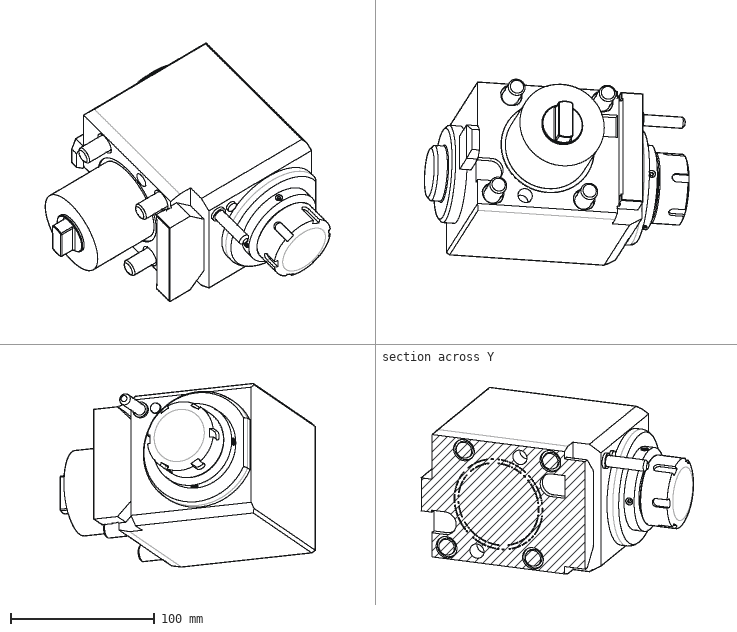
import cadquery as cq


HEIGHT = 94.0
BODY_LEFT = -50.0
STEP_X = 49.6
BODY_RIGHT = 70.6
BODY_BACK = 108.0
STEP_Y = 17.5
EDGE_DROP = 2.2
SIDE_BEVEL = 2.0
FRONT_BEVEL = 8.1
RIGHT_BEVEL = 8.7
RIGHT_DROP = 5.3

SHANK_RADIUS = 30.0
SHANK_LENGTH = 49.0
TANG_DISC_RADIUS = 14.5
TANG_DISC_HEIGHT = 1.8
TANG_DISC_CHAMFER = 0.5
TANG_RADIUS = 13.4
TANG_WIDTH = 10.3
TANG_END = 62.1
TANG_CHAMFER = 0.5
TANG_CORNER = 0.7
TANG_FLARE = 1.0
SEAL_GROOVE_RADIUS = 33.1
SEAL_GROOVE_DEPTH = 2.2
SEAL_BULGE = 0.4

BOLT_ROW_Z = 36.5
BOLT_SPACING = 64.8
BOLT_SHIFT = 6.5
BOLT_RADIUS = 6.0
BOLT_LENGTH = 19.0
BOLT_CHAMFER = 1.3
BOLT_HOLE_RADIUS = 7.6
BOLT_HOLE_DEPTH = 3.6
DOWEL_X = 16.1
DOWEL_RADIUS = 5.0
DOWEL_DEPTH = 14.5
KEYWAY_Z = 19.0
KEYWAY_WIDTH = 16.3
KEYWAY_LENGTH = 18.1
KEYWAY_DEPTH = 5.5

BLOCK_THICKNESS = 8.0
BLOCK_HALF_HEIGHT = 12.3
BLOCK_BACK = 23.9
BLOCK_FRONT = -6.2
BLOCK_TAPER = 5.5
BLOCK_NOSE_INSET = 2.5
BLOCK_NOSE_DROP = 4.9
BLOCK_ROUND = 1.0

PLATE_RIGHT = 65.2
PLATE_HALF_HEIGHT = 39.8
PLATE_FRONT = -13.0
PLATE_SLOPE_Y = 5.3
PLATE_EDGE = 0.5
RELIEF_DEPTH = 1.3
RELIEF_END_Y = -4.3
RELIEF_INNER_Y = -7.8
RELIEF_HALF_HEIGHT = 35.1

SPINDLE_Y = 70.0
CAP_LEFT = -69.9
CAP_RADIUS = 19.4
CAP_CHAMFER = 2.4
FLANGE_LEFT = -60.3
FLANGE_RADIUS = 34.0
FLANGE_CHAMFER = 2.2
CAP_FLARE = 0.7
COLLAR_RIGHT = 78.8
COLLAR_RADIUS = 41.1
COLLAR_ROUND_LENGTH = 3.8
COLLAR_DROP = 1.6
COLLAR_FLAT_Y = 107.0
RING_RIGHT = 86.4
RING_RADIUS = 29.5
NECK_RADIUS = 20.5
NUT_LEFT = 88.7
NUT_RIGHT = 111.2
NUT_RADIUS = 24.8
NUT_CHAMFER = 0.7
NUT_CROWN_START = 109.2
NUT_CROWN_BULGE = 0.6
NUT_FACE_RADIUS = 18.8
NUT_SLOTS = 6
NUT_SLOT_WIDTH = 6.2
NUT_SLOT_DEPTH = 2.4
NUT_LONG_SLOT_X = 94.4
NUT_SHORT_SLOT_X = 98.2
SET_SCREWS = 4
SET_SCREW_RADIUS = 2.5
SET_SCREW_DEPTH = 0.5
SOCKET_SIZE = 2.7
SOCKET_DEPTH = 2.2

PIN_Y = 25.2
PIN_Z = 33.7
PIN_RADIUS = 4.0
PIN_RIGHT = 102.7
PIN_CHAMFER = 1.8
PIN_BASE_RADIUS = 5.5
PIN_BASE_HEIGHT = 2.0
PLUG_Y = 36.5
PLUG_RADIUS = 3.6


def box_between(x0, x1, y0, y1, z0, z1):
    return cq.Workplane("XY").box(x1 - x0, y1 - y0, z1 - z0, centered=False).translate((x0, y0, z0))


def cylinder_x(x0, x1, y, z, radius):
    return cq.Workplane("YZ", origin=(x0, y, z)).circle(radius).extrude(x1 - x0)


def cylinder_y(y0, y1, x, z, radius):
    """Cylinder along Y from y0 down to y1 (y1 < y0)."""
    return cq.Workplane("XZ", origin=(x, y0, z)).circle(radius).extrude(y0 - y1)


def turn_on_spindle(profile):
    """Turn a closed profile of (x, radius) points about the spindle axis."""
    half = cq.Workplane("XY", origin=(0, SPINDLE_Y, 0)).polyline(profile).close()
    return half.revolve(360, (0, 0, 0), (1, 0, 0))


def make_housing():
    top = HEIGHT / 2
    shoulder = top - EDGE_DROP
    plan = (
        cq.Workplane("XY", origin=(0, 0, -top))
        .polyline([
            (BODY_LEFT, 0), (STEP_X, 0), (STEP_X, STEP_Y),
            (BODY_RIGHT, STEP_Y), (BODY_RIGHT, BODY_BACK), (BODY_LEFT, BODY_BACK),
        ])
        .close().extrude(2 * top)
    )
    left_bevel_end = BODY_LEFT + SIDE_BEVEL
    right_bevel_start = BODY_RIGHT - RIGHT_BEVEL
    right_shoulder = top - RIGHT_DROP
    front_outline = (
        cq.Workplane("XZ")
        .polyline([
            (BODY_LEFT, -shoulder), (left_bevel_end, -top), (right_bevel_start, -top),
            (BODY_RIGHT, -right_shoulder), (BODY_RIGHT, right_shoulder),
            (right_bevel_start, top), (left_bevel_end, top), (BODY_LEFT, shoulder),
        ])
        .close().extrude(-BODY_BACK)
    )
    back_bevel_start = BODY_BACK - SIDE_BEVEL
    side_outline = (
        cq.Workplane("YZ", origin=(BODY_LEFT, 0, 0))
        .polyline([
            (0, -shoulder), (FRONT_BEVEL, -top), (back_bevel_start, -top), (BODY_BACK, -shoulder),
            (BODY_BACK, shoulder), (back_bevel_start, top), (FRONT_BEVEL, top), (0, shoulder),
        ])
        .close().extrude(BODY_RIGHT - BODY_LEFT)
    )
    return plan.intersect(front_outline).intersect(side_outline)


def make_keyway(side, open_end):
    """Round-ended pocket running from the edge of the mounting face at X = open_end."""
    half_width = KEYWAY_WIDTH / 2
    round_center = open_end - side * (KEYWAY_LENGTH - half_width)
    center_z = side * KEYWAY_Z
    z_range = (center_z - half_width, center_z + half_width)
    x_range = sorted((round_center, open_end))
    straight = box_between(*x_range, 0, KEYWAY_DEPTH, *z_range)
    return straight.union(cylinder_y(KEYWAY_DEPTH, 0, round_center, center_z, half_width))


def make_seal():
    """O-ring lying in its groove around the shank."""
    ring_radius = (SHANK_RADIUS + SEAL_GROOVE_RADIUS) / 2
    cord_radius = (SEAL_GROOVE_RADIUS - SHANK_RADIUS) / 2
    cord = cq.Workplane("XY").center(ring_radius, cord_radius - SEAL_BULGE).circle(cord_radius)
    return cord.revolve(360, (-ring_radius, 0, 0), (-ring_radius, 1, 0))


def make_shank():
    shank = cylinder_y(SEAL_GROOVE_DEPTH, -SHANK_LENGTH, 0, 0, SHANK_RADIUS)
    disc_end = -SHANK_LENGTH - TANG_DISC_HEIGHT
    disc = cylinder_y(-SHANK_LENGTH, disc_end, 0, 0, TANG_DISC_RADIUS)
    disc = disc.faces("<Y").chamfer(TANG_DISC_CHAMFER)
    half_width = TANG_WIDTH / 2
    tang = box_between(-half_width, half_width, -TANG_END, -SHANK_LENGTH, -TANG_RADIUS, TANG_RADIUS)
    tang = tang.intersect(cylinder_y(-SHANK_LENGTH, -TANG_END, 0, 0, TANG_RADIUS))
    tang = tang.edges("|Y").chamfer(TANG_CORNER)
    tang = tang.faces("<Y").edges().chamfer(TANG_CHAMFER)
    root_length = 2 * TANG_RADIUS
    root = (
        cq.Workplane("XZ", origin=(0, disc_end, 0))
        .rect(TANG_WIDTH + 2 * TANG_FLARE, root_length)
        .workplane(offset=TANG_FLARE)
        .rect(TANG_WIDTH, root_length)
        .loft(ruled=True)
    )
    root = root.intersect(cylinder_y(disc_end, -TANG_END, 0, 0, TANG_RADIUS))
    return shank.union(disc).union(root).union(tang)


def make_block():
    left = BODY_LEFT - BLOCK_THICKNESS
    nose_start = BLOCK_FRONT + BLOCK_TAPER
    height = 2 * BLOCK_HALF_HEIGHT
    block = box_between(
        left, BODY_LEFT, nose_start, BLOCK_BACK, -BLOCK_HALF_HEIGHT, BLOCK_HALF_HEIGHT
    )
    block = block.faces(">Y").edges("|X").fillet(BLOCK_ROUND)
    nose = (
        cq.Workplane("XZ", origin=(BODY_LEFT - BLOCK_THICKNESS / 2, nose_start, 0))
        .rect(BLOCK_THICKNESS, height)
        .workplane(offset=BLOCK_TAPER)
        .center(BLOCK_NOSE_INSET / 2, 0)
        .rect(BLOCK_THICKNESS - BLOCK_NOSE_INSET, height - 2 * BLOCK_NOSE_DROP)
        .loft(ruled=True)
    )
    return block.union(nose)


def make_plate():
    half = PLATE_HALF_HEIGHT
    back_half = half - (STEP_Y - PLATE_SLOPE_Y)
    plate = (
        cq.Workplane("YZ", origin=(STEP_X, 0, 0))
        .polyline([
            (PLATE_FRONT, -half), (PLATE_SLOPE_Y, -half), (STEP_Y, -back_half),
            (STEP_Y, back_half), (PLATE_SLOPE_Y, half), (PLATE_FRONT, half),
        ])
        .close().extrude(PLATE_RIGHT - STEP_X)
        .faces("<Y").edges().chamfer(PLATE_EDGE)
    )
    relief = (
        cq.Workplane("YZ", origin=(STEP_X, 0, 0))
        .polyline([
            (0, -half), (RELIEF_END_Y, -half), (RELIEF_INNER_Y, -RELIEF_HALF_HEIGHT),
            (PLATE_FRONT, -RELIEF_HALF_HEIGHT), (PLATE_FRONT, RELIEF_HALF_HEIGHT),
            (RELIEF_INNER_Y, RELIEF_HALF_HEIGHT), (RELIEF_END_Y, half), (0, half),
        ])
        .close().extrude(RELIEF_DEPTH)
    )
    return plate.cut(relief)


def make_flange_and_cap():
    flange_edge = FLANGE_LEFT + FLANGE_CHAMFER
    return turn_on_spindle([
        (CAP_LEFT, 0), (CAP_LEFT, CAP_RADIUS - CAP_CHAMFER), (CAP_LEFT + CAP_CHAMFER, CAP_RADIUS),
        (FLANGE_LEFT - CAP_FLARE, CAP_RADIUS), (FLANGE_LEFT, CAP_RADIUS + CAP_FLARE),
        (FLANGE_LEFT, FLANGE_RADIUS - FLANGE_CHAMFER), (flange_edge, FLANGE_RADIUS),
        (BODY_LEFT, FLANGE_RADIUS), (BODY_LEFT, 0),
    ])


def make_collar():
    round_start = COLLAR_RIGHT - COLLAR_ROUND_LENGTH
    collar = (
        cq.Workplane("XY", origin=(0, SPINDLE_Y, 0))
        .moveTo(BODY_RIGHT, 0).lineTo(BODY_RIGHT, COLLAR_RADIUS).lineTo(round_start, COLLAR_RADIUS)
        .tangentArcPoint((COLLAR_RIGHT, COLLAR_RADIUS - COLLAR_DROP), relative=False)
        .lineTo(COLLAR_RIGHT, 0).close()
        .revolve(360, (0, 0, 0), (1, 0, 0))
    )
    beyond = SPINDLE_Y + COLLAR_RADIUS
    trim = (
        cq.Workplane("XY", origin=(0, 0, -COLLAR_RADIUS))
        .moveTo(BODY_RIGHT, COLLAR_FLAT_Y).lineTo(round_start, COLLAR_FLAT_Y)
        .tangentArcPoint((COLLAR_RIGHT, COLLAR_FLAT_Y - COLLAR_DROP), relative=False)
        .lineTo(COLLAR_RIGHT, beyond).lineTo(BODY_RIGHT, beyond).close()
        .extrude(2 * COLLAR_RADIUS)
    )
    return collar.cut(trim)


def spin(shape, angle):
    """Turn a shape about the spindle axis."""
    return shape.rotate((0, SPINDLE_Y, 0), (1, SPINDLE_Y, 0), angle)


def make_ring():
    ring = cylinder_x(COLLAR_RIGHT, RING_RIGHT, SPINDLE_Y, 0, RING_RADIUS)
    middle_x = (COLLAR_RIGHT + RING_RIGHT) / 2
    seat = cq.Workplane("XY", origin=(middle_x, SPINDLE_Y, RING_RADIUS))
    hole = seat.circle(SET_SCREW_RADIUS).extrude(-SET_SCREW_DEPTH)
    hole = hole.union(seat.polygon(6, SOCKET_SIZE).extrude(-SOCKET_DEPTH))
    for index in range(SET_SCREWS):
        ring = ring.cut(spin(hole, index * 360 / SET_SCREWS))
    return ring


def make_nut_slot(start_x):
    """Round-ended slot on the +Z side of the nut, open at the nut's end face."""
    half_width = NUT_SLOT_WIDTH / 2
    floor = NUT_RADIUS - NUT_SLOT_DEPTH
    round_x = start_x + half_width
    slot = box_between(
        round_x, NUT_RIGHT, SPINDLE_Y - half_width, SPINDLE_Y + half_width, floor, NUT_RADIUS
    )
    round_end = cq.Workplane("XY", origin=(round_x, SPINDLE_Y, floor)).circle(half_width)
    return slot.union(round_end.extrude(NUT_SLOT_DEPTH))


def make_nut():
    crown_x = NUT_CROWN_START + NUT_CROWN_BULGE * (NUT_RIGHT - NUT_CROWN_START)
    crown_radius = NUT_FACE_RADIUS + NUT_CROWN_BULGE * (NUT_RADIUS - NUT_FACE_RADIUS)
    nut = (
        cq.Workplane("XY", origin=(0, SPINDLE_Y, 0))
        .moveTo(RING_RIGHT, 0).lineTo(RING_RIGHT, NECK_RADIUS).lineTo(NUT_LEFT, NECK_RADIUS)
        .lineTo(NUT_LEFT, NUT_RADIUS - NUT_CHAMFER).lineTo(NUT_LEFT + NUT_CHAMFER, NUT_RADIUS)
        .lineTo(NUT_CROWN_START, NUT_RADIUS)
        .threePointArc((crown_x, crown_radius), (NUT_RIGHT, NUT_FACE_RADIUS))
        .lineTo(NUT_RIGHT, 0).close()
        .revolve(360, (0, 0, 0), (1, 0, 0))
    )
    for index in range(NUT_SLOTS):
        is_top_slot = index in (0, NUT_SLOTS - 1)
        slot = make_nut_slot(NUT_LONG_SLOT_X if is_top_slot else NUT_SHORT_SLOT_X)
        nut = nut.cut(spin(slot, (index + 0.5) * 360 / NUT_SLOTS))
    return nut


def make_pin_and_plug():
    base_end = BODY_RIGHT + PIN_BASE_HEIGHT
    pin = cylinder_x(BODY_RIGHT, PIN_RIGHT, PIN_Y, PIN_Z, PIN_RADIUS).faces(">X").chamfer(PIN_CHAMFER)
    pin = pin.union(cylinder_x(BODY_RIGHT, base_end, PIN_Y, PIN_Z, PIN_BASE_RADIUS))
    return pin.union(cylinder_x(BODY_RIGHT, base_end, PLUG_Y, PIN_Z, PLUG_RADIUS))


result = make_housing()
for side, open_end in ((1, STEP_X), (-1, BODY_LEFT)):
    result = result.cut(make_keyway(side, open_end))
    result = result.cut(cylinder_y(DOWEL_DEPTH, 0, side * DOWEL_X, side * BOLT_ROW_Z, DOWEL_RADIUS))
result = result.cut(cylinder_y(SEAL_GROOVE_DEPTH, 0, 0, 0, SEAL_GROOVE_RADIUS))

for side in (1, -1):
    for end in (-0.5, 0.5):
        bolt_x = side * BOLT_SHIFT + end * BOLT_SPACING
        bolt_z = side * BOLT_ROW_Z
        bolt = cylinder_y(BOLT_HOLE_DEPTH, -BOLT_LENGTH, bolt_x, bolt_z, BOLT_RADIUS)
        result = result.cut(cylinder_y(BOLT_HOLE_DEPTH, 0, bolt_x, bolt_z, BOLT_HOLE_RADIUS))
        result = result.union(bolt.faces("<Y").chamfer(BOLT_CHAMFER))

for piece in (
    make_shank(), make_seal(), make_block(), make_plate(), make_flange_and_cap(),
    make_collar(), make_ring(), make_nut(), make_pin_and_plug(),
):
    result = result.union(piece)